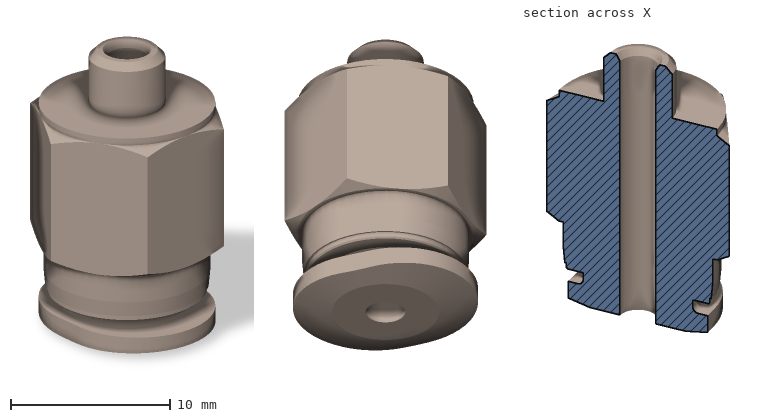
import cadquery as cq
import math

total_height = 18.9
ring_end_radius = 4.9
ring_length = 11.8
ring_end_offset = ring_length / 2 - ring_end_radius
ring_top = 1.55
ring_base_radius = 3.36
ring_rim_height = 0.51

neck_radius = 7.75 / 2
neck_fillet = 0.34

collar_radius = 10.5 / 2
collar_taper_radius = 5.16
collar_lip_radius = 10.1 / 2
collar_bottom = 2.4
collar_edge_chamfer = 0.1
collar_lip_top = 2.82
collar_taper_top = 3.82

across_flats = 11.11
corner_radius = across_flats / math.sqrt(3)
nut_bottom = 5.73
nut_top = 14.78
nut_chamfer_angle = math.radians(30)
washer_top = 15.25

spigot_radius = 4.82 / 2
spigot_chamfer = 0.47
bore_radius = 2.5 / 2
bore_mouth_radius = 3.06 / 2
bore_mouth_depth = 0.47


def revolved(points):
    """Solid of revolution about Z from (radius, height) points."""
    return cq.Workplane("XZ").polyline(points).close().revolve(360, (0, 0), (0, 1))


def make_release_ring():
    plate = (
        cq.Workplane("XY")
        .slot2D(ring_length, 2 * ring_end_radius)
        .extrude(ring_top)
    )
    rim_radius = ring_end_offset + ring_end_radius
    envelope = revolved([
        (0, 0),
        (ring_base_radius, 0),
        (rim_radius, ring_rim_height),
        (rim_radius, ring_top),
        (0, ring_top),
    ])
    return plate.intersect(envelope)


def make_neck():
    fillet_middle = neck_fillet * (1 - math.sqrt(0.5))
    return (
        cq.Workplane("XZ")
        .moveTo(0, ring_top)
        .lineTo(neck_radius + neck_fillet, ring_top)
        .threePointArc(
            (neck_radius + fillet_middle, ring_top + fillet_middle),
            (neck_radius, ring_top + neck_fillet),
        )
        .lineTo(neck_radius, collar_bottom)
        .lineTo(0, collar_bottom)
        .close()
        .revolve(360, (0, 0), (0, 1))
    )


def make_collar():
    return revolved([
        (0, collar_bottom),
        (collar_lip_radius - collar_edge_chamfer, collar_bottom),
        (collar_lip_radius, collar_bottom + collar_edge_chamfer),
        (collar_lip_radius, collar_lip_top),
        (collar_taper_radius, collar_lip_top),
        (collar_radius, collar_taper_top),
        (collar_radius, nut_bottom),
        (0, nut_bottom),
    ])


def make_nut():
    flat_radius = across_flats / 2
    chamfer_height = (corner_radius - flat_radius) * math.tan(nut_chamfer_angle)
    hexagon = (
        cq.Workplane("XY", origin=(0, 0, nut_bottom))
        .polygon(6, 2 * corner_radius)
        .extrude(nut_top - nut_bottom)
        .rotate((0, 0, 0), (0, 0, 1), 30)
    )
    envelope = revolved([
        (0, nut_bottom),
        (flat_radius, nut_bottom),
        (corner_radius, nut_bottom + chamfer_height),
        (corner_radius, nut_top - chamfer_height),
        (flat_radius, nut_top),
        (0, nut_top),
    ])
    washer = cq.Workplane("XY", origin=(0, 0, nut_top)).circle(flat_radius).extrude(washer_top - nut_top)
    return hexagon.intersect(envelope).union(washer)


def make_spigot():
    return (
        cq.Workplane("XY", origin=(0, 0, washer_top))
        .circle(spigot_radius)
        .extrude(total_height - washer_top)
        .faces(">Z")
        .chamfer(spigot_chamfer)
    )


def make_bore():
    return revolved([
        (0, 0),
        (bore_radius, 0),
        (bore_radius, total_height - bore_mouth_depth),
        (bore_mouth_radius, total_height),
        (0, total_height),
    ])


result = (
    make_release_ring()
    .union(make_neck())
    .union(make_collar())
    .union(make_nut())
    .union(make_spigot())
    .cut(make_bore())
)